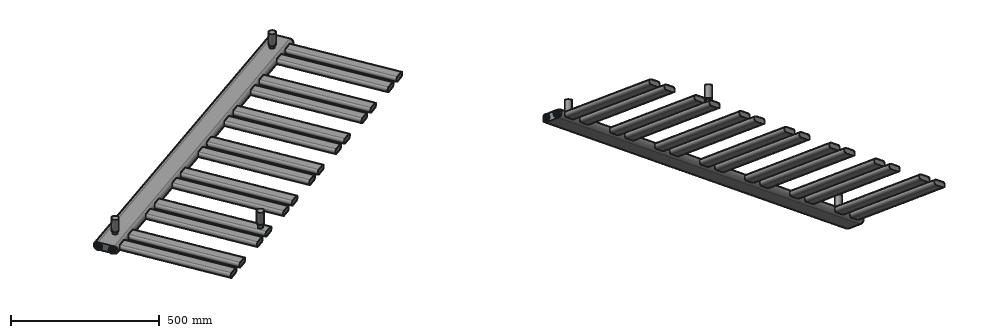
import cadquery as cq

total_width = 500.0
header_length = 1410.4
header_width = 90.0
header_height = 30.0
header_mid_z = header_height / 2

bar_width = 50.0
bar_height = 20.0
bar_gap_in_pair = 20.0
bar_pitch = bar_width + bar_gap_in_pair
pair_pitch = 210.0
pair_count = 7
bars_per_pair = 2
bars_span = (pair_count - 1) * pair_pitch + bar_pitch
first_bar_y = (header_length - bars_span) / 2

mount_top_z = 91.0
mount_diameter = 26.0
mount_bottom_z = 39.0
mount_chamfer = 3.0
neck_diameter = 18.0
header_mount_end_distance = 75.0
outer_mount_x = 470.0
outer_mount_pair = 1

plug_spacing = 50.0
plug_flange_diameter = 24.0
plug_flange_length = 4.0
plug_head_diameter = 23.0
plug_head_length = 6.0
plug_head_chamfer = 2.5
plug_tip_diameter = 9.0
plug_tip_length = 3.0


def bar_y(pair, place):
    """Centre of a bar along Y; place is 0 or 1 within its pair."""
    return first_bar_y + pair * pair_pitch + place * bar_pitch


def make_header():
    """Rounded flat tube from Y = 0 to the header length."""
    return (
        cq.Workplane("XZ")
        .center(header_width / 2, header_mid_z)
        .slot2D(header_width, header_height)
        .extrude(-header_length)
    )


def make_bar(y):
    """Rounded flat bar from the middle of the header to its free end."""
    start_x = header_width / 2
    return (
        cq.Workplane("YZ", origin=(start_x, y, header_mid_z))
        .slot2D(bar_width, bar_height)
        .extrude(total_width - start_x)
    )


def make_mount(x, y):
    """Wall mount turned about a vertical axis; its neck starts inside the tube below it."""
    neck_radius = neck_diameter / 2
    mount_radius = mount_diameter / 2
    profile = [
        (0, header_mid_z),
        (neck_radius, header_mid_z),
        (neck_radius, mount_bottom_z),
        (mount_radius - mount_chamfer, mount_bottom_z),
        (mount_radius, mount_bottom_z + mount_chamfer),
        (mount_radius, mount_top_z),
        (0, mount_top_z),
    ]
    return cq.Workplane("XZ").polyline(profile).close().revolve(360, (0, 0), (0, 1)).translate((x, y, 0))


def make_radiator():
    """Header, bars and wall mounts as one welded solid."""
    body = make_header()
    for pair in range(pair_count):
        for place in range(bars_per_pair):
            body = body.union(make_bar(bar_y(pair, place)))
    mount_places = [
        (header_width / 2, header_mount_end_distance),
        (header_width / 2, header_length - header_mount_end_distance),
        (outer_mount_x, bar_y(outer_mount_pair, 1)),
    ]
    for x, y in mount_places:
        body = body.union(make_mount(x, y))
    return body


def make_plug(x):
    """Stepped plug standing on the -Y end of the header."""
    return (
        cq.Workplane("XZ", origin=(x, 0, header_mid_z))
        .circle(plug_flange_diameter / 2)
        .extrude(plug_flange_length)
        .faces("<Y")
        .workplane()
        .circle(plug_head_diameter / 2)
        .extrude(plug_head_length)
        .faces("<Y")
        .chamfer(plug_head_chamfer)
        .faces("<Y")
        .workplane()
        .circle(plug_tip_diameter / 2)
        .extrude(plug_tip_length)
    )


radiator = make_radiator()
plugs = [make_plug(header_width / 2 + side * plug_spacing / 2) for side in (-1, 1)]

result = cq.Compound.makeCompound([radiator.val(), *[plug.val() for plug in plugs]])